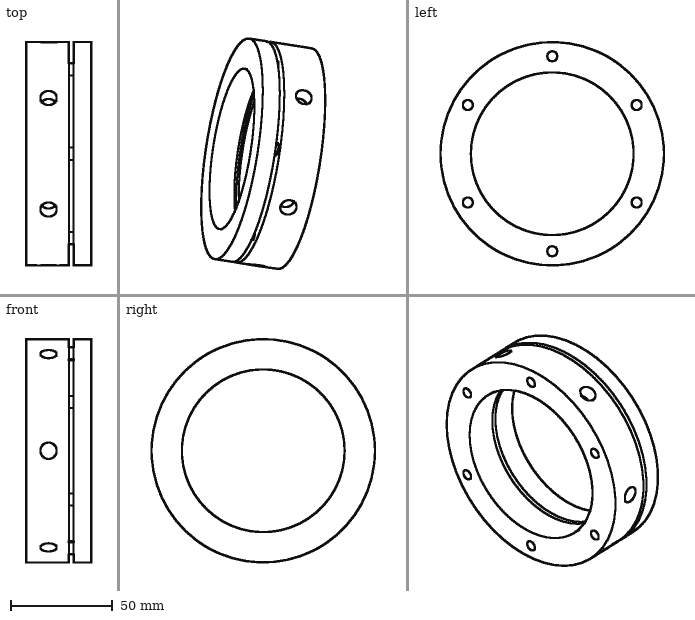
import cadquery as cq
import math

OUTER_DIAMETER = 110.0
BORE_DIAMETER = 80.0
TOTAL_WIDTH = 32.0

FRONT_RING_WIDTH = 21.0
GROOVE_WIDTH = 2.3
HUB_DIAMETER = 89.0

INNER_GROOVE_START = 17.0

PIN_COUNT = 6
PIN_CIRCLE_RADIUS = 48.0
PIN_DIAMETER = 6.0
AXIAL_HOLE_DIAMETER = 5.0
PIN_ANGLES = [90 + i * 360 / PIN_COUNT for i in range(PIN_COUNT)]

RADIAL_HOLE_DIAMETER = 8.0
RADIAL_HOLE_X = 11.0
RADIAL_HOLE_DEPTH = 8.0
DRILL_POINT_ANGLE = 118.0
RADIAL_HOLE_ANGLES = [angle + 180 / PIN_COUNT for angle in PIN_ANGLES]


def ring(start, width, outer_diameter, inner_diameter):
    """Plain ring around the X axis."""
    return (
        cq.Workplane("YZ", origin=(start, 0, 0))
        .circle(outer_diameter / 2)
        .circle(inner_diameter / 2)
        .extrude(width)
    )


def axial_cylinder(start, length, diameter, angle):
    """Cylinder parallel to X on the pin circle; the angle runs from +Y towards +Z."""
    y = PIN_CIRCLE_RADIUS * math.cos(math.radians(angle))
    z = PIN_CIRCLE_RADIUS * math.sin(math.radians(angle))
    return cq.Workplane("YZ", origin=(start, y, z)).circle(diameter / 2).extrude(length)


def radial_drill(angle):
    """Drill shape that enters the front ring from its rim and ends in a cone."""
    radius = RADIAL_HOLE_DIAMETER / 2
    rim = OUTER_DIAMETER / 2
    floor = rim - RADIAL_HOLE_DEPTH
    tip = floor - radius / math.tan(math.radians(DRILL_POINT_ANGLE / 2))
    drill = (
        cq.Workplane("XY")
        .moveTo(0, tip)
        .lineTo(radius, floor)
        .lineTo(radius, rim)
        .lineTo(0, rim)
        .close()
        .revolve(360, (0, 0, 0), (0, 1, 0))
    )
    return drill.rotate((0, 0, 0), (1, 0, 0), angle).translate((RADIAL_HOLE_X, 0, 0))


def make_housing():
    """Grooved housing with the axial and radial holes of its front ring."""
    body = ring(0, TOTAL_WIDTH, OUTER_DIAMETER, BORE_DIAMETER)
    body = body.cut(ring(FRONT_RING_WIDTH, GROOVE_WIDTH, OUTER_DIAMETER, HUB_DIAMETER))
    body = body.cut(ring(INNER_GROOVE_START, GROOVE_WIDTH, HUB_DIAMETER, BORE_DIAMETER))
    for angle in PIN_ANGLES:
        body = body.cut(axial_cylinder(0, FRONT_RING_WIDTH, AXIAL_HOLE_DIAMETER, angle))
    for angle in RADIAL_HOLE_ANGLES:
        body = body.cut(radial_drill(angle))
    return body


def make_pin(angle):
    """Spacer pin that spans the outer groove and closes the end of its axial hole."""
    return axial_cylinder(FRONT_RING_WIDTH, GROOVE_WIDTH, PIN_DIAMETER, angle)


housing = make_housing()
pins = [make_pin(angle) for angle in PIN_ANGLES]

result = cq.Compound.makeCompound([housing.val(), *[pin.val() for pin in pins]])